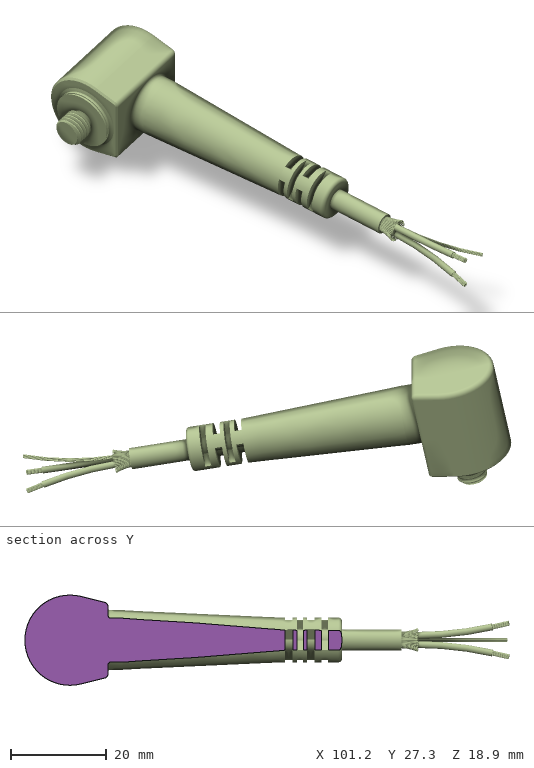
import cadquery as cq
import math

TOTAL_LENGTH = 101.2
TOTAL_DEPTH = 27.3

HEAD_DIAMETER = 18.9
HEAD_BACK = 9.5
HEAD_DEPTH = 20.8
HEAD_FLAT_X = 8.0
FLANK_SLOPE = 14.0
CORNER_FILLET = 1.0
BACK_FILLET = 1.0
FRONT_CHAMFER = 0.4

RING_BASE_DIAMETER = 14.3
RING_DIAMETER = 13.0
RING_GROOVE_DIAMETER = 12.4
RING_CONE_LENGTH = 0.3
RING_GROOVE_START = 0.9
RING_LENGTH = 1.5
RING_LIP_LENGTH = 0.1
STUD_CORE_DIAMETER = 5.1
THREAD_DIAMETER = 6.4
THREAD_PITCH = 0.9
THREAD_LENGTH = 4.1
THREAD_ROOT_WIDTH = 0.8
THREAD_CREST_WIDTH = 0.2
THREAD_CHAMFER = 0.3
THREAD_ROOT_OVERLAP = 0.1
THREAD_CLEARANCE = 0.05

ARM_DIAMETER = 12.4
ARM_STRAIGHT_LENGTH = 3.0
ARM_ROOT_FILLET = 0.4
RELIEF_DIAMETER = 9.3
RELIEF_START = 44.9
RELIEF_END = 56.8
RELIEF_FILLET = 0.7
WEB_THICKNESS = 2.9
WEB_ANGLE = 45.0
SLOT_STARTS = [RELIEF_START, 47.4, 49.5, 52.5]
SLOT_WIDTHS = [1.5, 1.3, 1.5, 1.3]

CABLE_DIAMETER = 4.5
CABLE_END = 69.2
CORE_DIAMETER = 2.9
CORE_END = 72.4
SHIELD_PITCH_RADIUS = 1.6
SHIELD_STRANDS = 40
SHIELD_BEND_RADIUS = 9.7
SHIELD_LENGTH = 3.4
STRAND_DIAMETER = 0.2
STRAND_PITCH = 0.21
DRAIN_STRAND_DIAMETER = 0.13
DRAIN_STRAND_PITCH = 0.16
DRAIN_OFFSET = 1.1
DRAIN_BEND_RADIUS = 50.6
DRAIN_END = 91.2
WIRE_DIAMETER = 1.4
WIRE_OFFSET_Y = -0.15
WIRE_OFFSET_Z = 0.96
WIRE_BEND_RADIUS = 63.7
WIRE_SPREAD_ANGLE = 120.0
INSULATION_END = 88.1
OVERLAP = 0.3

HEAD_RADIUS = HEAD_DIAMETER / 2
HEAD_FRONT = HEAD_BACK - HEAD_DEPTH
STUD_TIP = HEAD_BACK - TOTAL_DEPTH
TIP_X = TOTAL_LENGTH - HEAD_RADIUS


def cylinder_x(diameter, start, end):
    """Cylinder on the arm axis."""
    return cq.Workplane("YZ", origin=(start, 0, 0)).circle(diameter / 2).extrude(end - start)


def make_head():
    slope = math.radians(FLANK_SLOPE)
    tangent_x = HEAD_RADIUS * math.sin(slope)
    tangent_z = HEAD_RADIUS * math.cos(slope)
    flat_z = tangent_z - (HEAD_FLAT_X - tangent_x) * math.tan(slope)
    head = (
        cq.Workplane("XZ", origin=(0, HEAD_BACK, 0))
        .moveTo(HEAD_FLAT_X, -flat_z)
        .lineTo(HEAD_FLAT_X, flat_z)
        .lineTo(tangent_x, tangent_z)
        .threePointArc((-HEAD_RADIUS, 0), (tangent_x, -tangent_z))
        .close()
        .extrude(HEAD_DEPTH)
    )
    head = head.edges("|Y and >X").fillet(CORNER_FILLET)
    head = head.faces(">Y").edges().fillet(BACK_FILLET)
    return head.faces("<Y").edges().chamfer(FRONT_CHAMFER)


def make_ring():
    """Seating ring: a short cone, then a grooved cylinder with a thin lip, revolved about the head axis."""
    cone_y = HEAD_FRONT - RING_CONE_LENGTH
    groove_y = HEAD_FRONT - RING_GROOVE_START
    end_y = HEAD_FRONT - RING_LENGTH
    lip_y = end_y + RING_LIP_LENGTH
    outline = [
        (0, HEAD_FRONT + OVERLAP),
        (RING_BASE_DIAMETER / 2, HEAD_FRONT + OVERLAP),
        (RING_BASE_DIAMETER / 2, HEAD_FRONT),
        (RING_DIAMETER / 2, cone_y),
        (RING_DIAMETER / 2, groove_y),
        (RING_GROOVE_DIAMETER / 2, groove_y),
        (RING_GROOVE_DIAMETER / 2, lip_y),
        (RING_DIAMETER / 2, lip_y),
        (RING_DIAMETER / 2, end_y),
        (0, end_y),
    ]
    return cq.Workplane("XY").polyline(outline).close().revolve(360, (0, 0), (0, 1))


def make_stud():
    """Plain core with a helical thread ridge clipped to a chamfered cylinder."""
    core_radius = STUD_CORE_DIAMETER / 2
    root_radius = core_radius - THREAD_ROOT_OVERLAP
    crest_radius = THREAD_DIAMETER / 2
    core = cq.Workplane("XZ", origin=(0, HEAD_FRONT, 0)).circle(core_radius).extrude(HEAD_FRONT - STUD_TIP)

    helix = cq.Wire.makeHelix(THREAD_PITCH, THREAD_LENGTH + 2 * THREAD_PITCH, core_radius)
    ridge = (
        cq.Workplane("XZ")
        .polyline([
            (root_radius, -THREAD_ROOT_WIDTH / 2),
            (crest_radius, -THREAD_CREST_WIDTH / 2),
            (crest_radius, THREAD_CREST_WIDTH / 2),
            (root_radius, THREAD_ROOT_WIDTH / 2),
        ])
        .close()
        .sweep(cq.Workplane(helix), isFrenet=True)
        .rotate((0, 0, 0), (1, 0, 0), 90)
        .translate((0, STUD_TIP + THREAD_LENGTH + THREAD_PITCH, 0))
    )
    envelope = (
        cq.Workplane("XZ", origin=(0, STUD_TIP + THREAD_LENGTH, 0))
        .circle(crest_radius + THREAD_CLEARANCE)
        .extrude(THREAD_LENGTH)
        .edges()
        .chamfer(THREAD_CHAMFER + THREAD_CLEARANCE)
    )
    return core.union(ridge.intersect(envelope))


def make_arm():
    taper_start = HEAD_FLAT_X + ARM_STRAIGHT_LENGTH
    arm_radius = ARM_DIAMETER / 2
    relief_radius = RELIEF_DIAMETER / 2
    fillet_x = HEAD_FLAT_X + ARM_ROOT_FILLET
    return (
        cq.Workplane("XY")
        .moveTo(0, 0)
        .lineTo(0, arm_radius)
        .lineTo(HEAD_FLAT_X, arm_radius)
        .lineTo(HEAD_FLAT_X, arm_radius + ARM_ROOT_FILLET)
        .radiusArc((fillet_x, arm_radius), -ARM_ROOT_FILLET)
        .lineTo(taper_start, arm_radius)
        .lineTo(RELIEF_START, relief_radius)
        .lineTo(RELIEF_END, relief_radius)
        .lineTo(RELIEF_END, 0)
        .close()
        .revolve(360, (0, 0), (1, 0))
        .faces(">X")
        .edges()
        .fillet(RELIEF_FILLET)
    )


def make_relief_slot(index):
    """Ring cut down to the cable, less a flat web; webs alternate between the two diagonals."""
    start = SLOT_STARTS[index]
    width = SLOT_WIDTHS[index]
    web_angle = -WEB_ANGLE if index % 2 == 0 else WEB_ANGLE
    web = (
        cq.Workplane("YZ", origin=(start, 0, 0))
        .rect(2 * ARM_DIAMETER, WEB_THICKNESS)
        .extrude(width)
        .rotate((0, 0, 0), (1, 0, 0), web_angle)
    )
    disc = cylinder_x(ARM_DIAMETER, start, start + width)
    return disc.cut(cylinder_x(CABLE_DIAMETER, start, start + width)).cut(web)


def bent_rod(start_x, end_x, bend_radius, diameter, offset=(0, 0)):
    """Round rod bending from +X towards +Y; its bundle's centre line starts at Y = Z = 0."""
    sweep_angle = math.degrees(math.asin((end_x - start_x) / bend_radius))
    return (
        cq.Workplane("YZ", origin=(start_x, 0, 0))
        .center(*offset)
        .circle(diameter / 2)
        .revolve(sweep_angle, (bend_radius - offset[0], 0), (bend_radius - offset[0], 1))
    )


def bundle_offsets(pitch):
    """Centres of 19 strands: one in the middle, then rings of 6 and 12."""
    offsets = [(0, 0)]
    for ring in (1, 2):
        count = 6 * ring
        for i in range(count):
            angle = 2 * math.pi * i / count
            offsets.append((ring * pitch * math.cos(angle), ring * pitch * math.sin(angle)))
    return offsets


def turn_about_x(body, angle):
    return body.rotate((0, 0, 0), (1, 0, 0), angle)


def make_shield_strands():
    start = CABLE_END - OVERLAP
    strand = bent_rod(start, CABLE_END + SHIELD_LENGTH, SHIELD_BEND_RADIUS, STRAND_DIAMETER)
    strand = strand.translate((0, SHIELD_PITCH_RADIUS, 0))
    return [turn_about_x(strand, 360 * i / SHIELD_STRANDS) for i in range(SHIELD_STRANDS)]


def make_drain_strands():
    return [
        bent_rod(CORE_END - OVERLAP, DRAIN_END, DRAIN_BEND_RADIUS, DRAIN_STRAND_DIAMETER, offset)
        .translate((0, DRAIN_OFFSET, 0))
        for offset in bundle_offsets(DRAIN_STRAND_PITCH)
    ]


def make_wire(side):
    """Insulated wire with its bare strands; side is +1 for the upper wire, -1 for the lower."""
    start = CORE_END - OVERLAP
    wire = bent_rod(start, INSULATION_END, WIRE_BEND_RADIUS, WIRE_DIAMETER)

    bend = math.asin((INSULATION_END - start) / WIRE_BEND_RADIUS)
    sag = WIRE_BEND_RADIUS * (1 - math.cos(bend))
    bundle_radius = 2 * STRAND_PITCH + STRAND_DIAMETER / 2
    bare_length = (TIP_X - INSULATION_END - bundle_radius * math.sin(bend)) / math.cos(bend)
    end_plane = cq.Plane(
        origin=(INSULATION_END, sag, 0),
        xDir=(0, 0, 1),
        normal=(math.cos(bend), math.sin(bend), 0),
    )
    strands = (
        cq.Workplane(end_plane)
        .workplane(offset=-OVERLAP)
        .pushPoints(bundle_offsets(STRAND_PITCH))
        .circle(STRAND_DIAMETER / 2)
        .extrude(bare_length + OVERLAP)
    )
    wire = turn_about_x(wire.union(strands), side * WIRE_SPREAD_ANGLE)
    return wire.translate((0, WIRE_OFFSET_Y, side * WIRE_OFFSET_Z))


arm = make_arm()
for slot_index in range(len(SLOT_STARTS)):
    arm = arm.cut(make_relief_slot(slot_index))

cable = cylinder_x(CABLE_DIAMETER, RELIEF_START, CABLE_END)
cable = cable.union(cylinder_x(CORE_DIAMETER, CABLE_END - OVERLAP, CORE_END))
for loose_end in make_shield_strands() + make_drain_strands() + [make_wire(1), make_wire(-1)]:
    cable = cable.union(loose_end)

result = make_head().union(make_ring()).union(make_stud()).union(arm).union(cable)